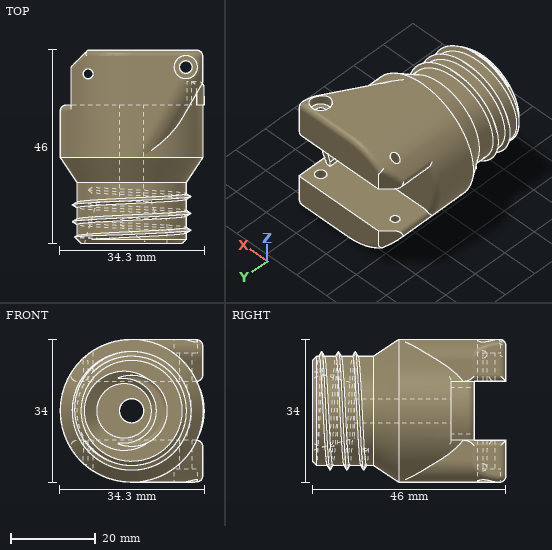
import cadquery as cq
import math

LENGTH = 46.0
BODY_RADIUS = 34.0 / 2
NECK_RADIUS = 13.0
NECK_END = 14.5
SHOULDER_END = 20.5
MOUTH_CHAMFER = 1.0
EDGE_ROUND = 1.5
TOLERANCE = 0.005

THREAD_RADIUS = 14.1
THREAD_PITCH = 4.0
THREAD_BASE = 1.45
THREAD_EMBED = 0.15
THREAD_START = 0.2
THREAD_TURNS = 3.13

BORE_RADIUS = 8.45
BORE_DEPTH = 6.0
BORE_ROUND = 1.0
TAPER_OFFSET = -1.8
TAPER_MOUTH_RADIUS = 9.45
TAPER_FLOOR_RADIUS = 6.5
TAPER_DEPTH = 10.0
PASSAGE_RADIUS = 2.85

EAR_REACH = 16.95
EAR_ANGLE = 60.0
EAR_WALL_X = 6.65
EAR_ROLL = 5.0
SLOT_WIDTH = 14.0
SLOT_FLOOR = 33.0
CORNER_CUT_X = -10.4

PIVOT_X, PIVOT_Y = 12.9, 41.95
PIVOT_RADIUS = 1.45
PIVOT_HEAD_RADIUS = 2.75
PIVOT_HEAD_DEPTH = 3.2
PIN_X, PIN_Y = -10.35, 40.35
PIN_RADIUS = 1.15

LIP_REACH = 34.25 - BODY_RADIUS
LIP_OUTER_RADIUS = 14.08
LIP_INNER_RADIUS = 14.25
LIP_WIDTH = 15.65
LIP_HOLLOW_WIDTH = 11.05
LIP_HEIGHT = 5.5


def turned(points):
    """Solid of revolution about Y from (radius, Y) points."""
    return cq.Workplane("XY").polyline(points).close().revolve(360, (0, 0), (0, 1))


def cylinder_y(radius, start, end):
    return turned([(0, start), (radius, start), (radius, end), (0, end)])


def cylinder_z(x, y, radius, bottom, top):
    return cq.Workplane("XY", origin=(x, y, bottom)).circle(radius).extrude(top - bottom)


def make_body():
    return turned([
        (0, 0),
        (NECK_RADIUS - MOUTH_CHAMFER, 0),
        (NECK_RADIUS, MOUTH_CHAMFER),
        (NECK_RADIUS, NECK_END),
        (BODY_RADIUS, SHOULDER_END),
        (BODY_RADIUS, LENGTH),
        (0, LENGTH),
    ])


def make_ear_block():
    """Block that carries both ears, rolled over along its diagonal wall."""
    wall_top = SHOULDER_END + (EAR_REACH - EAR_WALL_X) * math.tan(math.radians(EAR_ANGLE))
    outline = [
        (0, SHOULDER_END),
        (EAR_WALL_X, SHOULDER_END),
        (EAR_REACH, wall_top),
        (EAR_REACH, LENGTH),
        (0, LENGTH),
    ]
    block = cq.Workplane("XY").polyline(outline).close().extrude(BODY_RADIUS, both=True)
    wall_middle = ((EAR_WALL_X + EAR_REACH) / 2, (SHOULDER_END + wall_top) / 2)
    for side in (1, -1):
        near_edge = cq.selectors.NearestToPointSelector((*wall_middle, side * BODY_RADIUS))
        block = block.edges(near_edge).fillet(EAR_ROLL)
    return block


def cut_corner(solid):
    """Cut the -X corner of the forked end at 45 degrees."""
    cut = BODY_RADIUS + CORNER_CUT_X
    corner = [
        (CORNER_CUT_X, LENGTH),
        (-BODY_RADIUS, LENGTH),
        (-BODY_RADIUS, LENGTH - cut),
    ]
    return solid.cut(cq.Workplane("XY").polyline(corner).close().extrude(BODY_RADIUS, both=True))


def cut_slot(solid):
    """Open the gap between the ears, from side to side along X."""
    slot = cq.Workplane("XY").box(
        3 * BODY_RADIUS, LENGTH - SLOT_FLOOR, SLOT_WIDTH, centered=(True, False, True)
    )
    return solid.cut(slot.translate((0, SLOT_FLOOR, 0)))


def is_rounded_edge(edge):
    """True for the edges of the upper fork half that take the common rounding."""
    box = edge.BoundingBox()
    on_left = edge.Center().x < 0
    along_z = max(box.xlen, box.ylen) < TOLERANCE
    if box.ymin < SLOT_FLOOR - TOLERANCE:
        return False
    if box.ymax < SLOT_FLOOR + TOLERANCE:
        return on_left and box.zlen > TOLERANCE
    if box.zmax < SLOT_WIDTH / 2 + TOLERANCE:
        return on_left and box.xlen < TOLERANCE
    if box.ymin > LENGTH - TOLERANCE:
        return not (on_left and along_z)
    on_corner_cut = edge.Center().x < CORNER_CUT_X
    on_ear_side = box.xmin > EAR_REACH - TOLERANCE
    return on_corner_cut or on_ear_side


def round_slot_mouth(solid):
    """Round the edge between the upper slot side and the flat side of the ear."""
    slot_side = SLOT_WIDTH / 2
    tangent_x = EAR_REACH - EDGE_ROUND
    tangent_z = slot_side + EDGE_ROUND
    corner = cq.Workplane("XY").box(EDGE_ROUND, LENGTH - SLOT_FLOOR, EDGE_ROUND, centered=False)
    corner = corner.translate((tangent_x, SLOT_FLOOR, slot_side))
    kept = cylinder_y(EDGE_ROUND, SLOT_FLOOR, LENGTH).translate((tangent_x, 0, tangent_z))
    return solid.cut(corner.cut(kept))


def make_fork():
    """Body with both ears; the lower half mirrors the upper one."""
    whole = cut_slot(cut_corner(make_body().union(make_ear_block())))
    upper_space = cq.Workplane("XY").box(
        3 * BODY_RADIUS, LENGTH, BODY_RADIUS, centered=(True, False, False)
    )
    half = whole.intersect(upper_space)
    edges = [edge for edge in half.edges().vals() if is_rounded_edge(edge)]
    half = round_slot_mouth(half.newObject(edges).fillet(EDGE_ROUND))
    return half.union(half.mirror("XY")).clean()


def make_lip():
    """Curved wall bridging the ears, hollowed on the inside and rounded on its outer rim."""
    base = SLOT_FLOOR
    top = SLOT_FLOOR + LIP_HEIGHT
    hollow_half = LIP_HOLLOW_WIDTH / 2
    flat_x = math.sqrt(LIP_INNER_RADIUS ** 2 - hollow_half ** 2)
    rim = cylinder_y(LIP_OUTER_RADIUS, base, top).faces(">Y").edges().fillet(EDGE_ROUND)
    rim = rim.translate((LIP_REACH - LIP_OUTER_RADIUS, 0, 0))
    bar = cq.Workplane("XY").box(
        LIP_REACH, LIP_HEIGHT, LIP_WIDTH, centered=(False, False, True)
    )
    lip = rim.intersect(bar.translate((flat_x, base, 0)))
    return lip.cut(cylinder_y(LIP_INNER_RADIUS, base, top))


def make_thread():
    """Triangular right-hand ridge that fades out in the mouth chamfer."""
    root = NECK_RADIUS - THREAD_EMBED
    helix = cq.Wire.makeHelix(THREAD_PITCH, THREAD_PITCH * THREAD_TURNS, root)
    ridge = (
        cq.Workplane("XZ")
        .polyline([(root, -THREAD_BASE / 2), (THREAD_RADIUS, 0), (root, THREAD_BASE / 2)])
        .close()
        .sweep(cq.Workplane(helix), isFrenet=True)
        .rotate((0, 0, 0), (0, 0, 1), 90)
        .rotate((0, 0, 0), (1, 0, 0), -90)
        .translate((0, THREAD_START, 0))
    )
    limit = turned([
        (0, 0),
        (NECK_RADIUS - MOUTH_CHAMFER, 0),
        (NECK_RADIUS - MOUTH_CHAMFER + NECK_END, NECK_END),
        (0, NECK_END),
    ])
    return ridge.intersect(limit)


def make_cavity():
    """Centred bore with a round bottom corner, off-centre tapered pocket and passage."""
    bore = cylinder_y(BORE_RADIUS, 0, BORE_DEPTH).faces(">Y").edges().fillet(BORE_ROUND)
    taper = turned([
        (0, 0),
        (TAPER_MOUTH_RADIUS, 0),
        (TAPER_FLOOR_RADIUS, TAPER_DEPTH),
        (0, TAPER_DEPTH),
    ]).translate((TAPER_OFFSET, 0, 0))
    passage = cylinder_y(PASSAGE_RADIUS, 0, LENGTH)
    return bore.union(taper).union(passage)


def make_pin_holes():
    """Plain pin hole and a pivot hole recessed on both outer faces."""
    holes = cylinder_z(PIN_X, PIN_Y, PIN_RADIUS, -BODY_RADIUS, BODY_RADIUS)
    holes = holes.union(cylinder_z(PIVOT_X, PIVOT_Y, PIVOT_RADIUS, -BODY_RADIUS, BODY_RADIUS))
    head_floor = BODY_RADIUS - PIVOT_HEAD_DEPTH
    head = cylinder_z(PIVOT_X, PIVOT_Y, PIVOT_HEAD_RADIUS, head_floor, BODY_RADIUS)
    return holes.union(head).union(head.mirror("XY"))


result = make_fork().union(make_lip()).union(make_thread())
result = result.cut(make_cavity()).cut(make_pin_holes())